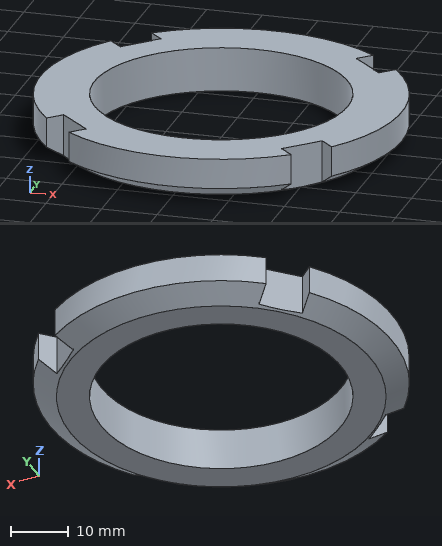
import cadquery as cq

outer_diameter = 65.0
bore_diameter = 45.5
thickness = 8.0

chamfer_height = 2.6
chamfer_width = 4.0

slot_count = 4
first_slot_angle = 45.0
slot_width = 8.0
slot_floor_distance = 28.85

outer_radius = outer_diameter / 2
bore_radius = bore_diameter / 2


def ring_body():
    """Revolve the ring section about Z, with the chamfer at the bottom."""
    return (
        cq.Workplane("XZ")
        .moveTo(bore_radius, 0)
        .lineTo(outer_radius - chamfer_width, 0)
        .lineTo(outer_radius, chamfer_height)
        .lineTo(outer_radius, thickness)
        .lineTo(bore_radius, thickness)
        .close()
        .revolve(360, (0, 0, 0), (0, 1, 0))
    )


def slot_cutter(angle):
    """Block that cuts one full-height slot through the rim."""
    return (
        cq.Workplane("XY")
        .box(outer_radius, slot_width, thickness, centered=(False, True, False))
        .translate((slot_floor_distance, 0, 0))
        .rotate((0, 0, 0), (0, 0, 1), angle)
    )


result = ring_body()
for slot in range(slot_count):
    result = result.cut(slot_cutter(first_slot_angle + slot * 360 / slot_count))